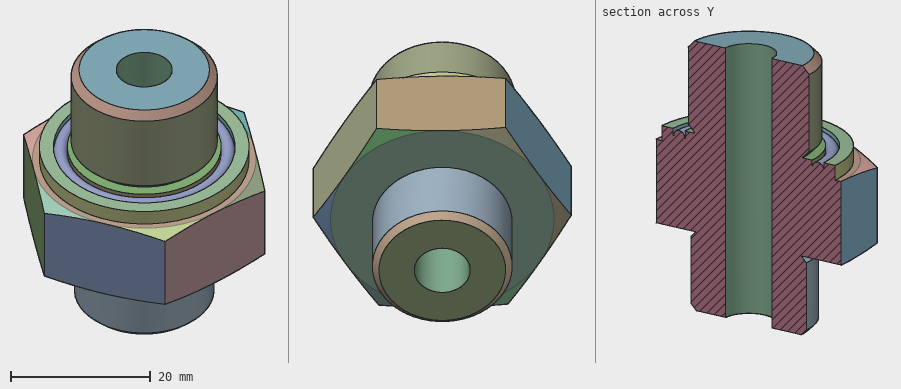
import cadquery as cq
import math

total_height = 41.0
bore_diameter = 8.0

lower_diameter = 20.0
lower_length = 11.97
lower_end_chamfer = 0.95
lower_neck_chamfer = 0.8

hex_across_flats = 32.0
hex_height = 12.75
hex_chamfer_angle = 15.0

flange_diameter = 30.0
flange_height = 2.25

ring_inner_diameter = 22.0
ring_outer_diameter = 26.0
ring_crown_depth = 0.12

upper_diameter = 20.95
upper_end_chamfer = 1.15
upper_neck_chamfer = 1.15

hex_top = lower_length + hex_height
flange_top = hex_top + flange_height
upper_length = total_height - flange_top


def stud(diameter, length, bottom_chamfer, top_chamfer, base):
    """Cylinder with a 45 degree chamfer on each end, standing at height base."""
    return (
        cq.Workplane("XY")
        .workplane(offset=base)
        .circle(diameter / 2)
        .extrude(length)
        .faces("<Z")
        .chamfer(bottom_chamfer)
        .faces(">Z")
        .chamfer(top_chamfer)
    )


def hexagon():
    """Hexagon with corners on the Y axis, turned down conically at both ends."""
    flat_radius = hex_across_flats / 2
    corner_radius = flat_radius / math.cos(math.radians(30))
    corner_drop = (corner_radius - flat_radius) * math.tan(math.radians(hex_chamfer_angle))
    prism = (
        cq.Workplane("XY")
        .workplane(offset=lower_length)
        .polygon(6, 2 * corner_radius)
        .extrude(hex_height)
        .rotate((0, 0, 0), (0, 0, 1), 30)
    )
    turned_envelope = (
        cq.Workplane("XZ")
        .moveTo(0, lower_length)
        .lineTo(flat_radius, lower_length)
        .lineTo(corner_radius, lower_length + corner_drop)
        .lineTo(corner_radius, hex_top - corner_drop)
        .lineTo(flat_radius, hex_top)
        .lineTo(0, hex_top)
        .close()
        .revolve(360, (0, 0, 0), (0, 1, 0))
    )
    return prism.intersect(turned_envelope)


def flange():
    """Round flange with the exposed upper half of the sealing ring in its face."""
    inner_radius = ring_inner_diameter / 2
    outer_radius = ring_outer_diameter / 2
    middle_radius = (inner_radius + outer_radius) / 2
    ring_crown = flange_top - ring_crown_depth
    ring_center = ring_crown - (outer_radius - inner_radius) / 2
    disc = cq.Workplane("XY").workplane(offset=hex_top).circle(flange_diameter / 2).extrude(flange_height)
    space_above_ring = (
        cq.Workplane("XZ")
        .moveTo(inner_radius, flange_top)
        .lineTo(inner_radius, ring_center)
        .threePointArc((middle_radius, ring_crown), (outer_radius, ring_center))
        .lineTo(outer_radius, flange_top)
        .close()
        .revolve(360, (0, 0, 0), (0, 1, 0))
    )
    return disc.cut(space_above_ring)


lower_stud = stud(lower_diameter, lower_length, lower_end_chamfer, lower_neck_chamfer, 0)
upper_stud = stud(upper_diameter, upper_length, upper_neck_chamfer, upper_end_chamfer, flange_top)
bore = cq.Workplane("XY").circle(bore_diameter / 2).extrude(total_height)

result = lower_stud.union(hexagon()).union(flange()).union(upper_stud).cut(bore)